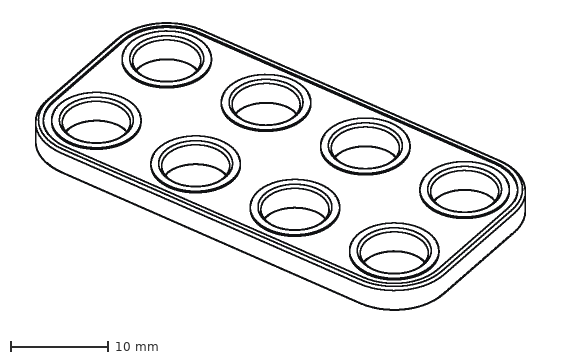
import cadquery as cq

pitch = 12.5
columns = 4
rows = 2
length = columns * pitch
width = rows * pitch
thickness = 3.1
corner_radius = pitch / 2
edge_chamfer = 0.3

rim_width = 0.8
recess_depth = 0.2
collar_diameter = 9.2

hole_diameter = 7.0
hole_chamfer = 0.3


def rounded_block(block_length, block_width, height, radius):
    """Block standing on Z = 0, centred in X and Y, with rounded vertical edges."""
    block = cq.Workplane("XY").box(block_length, block_width, height, centered=(True, True, False))
    return block.edges("|Z").fillet(radius)


def hole_grid(height):
    """Workplane at the given height with one point per hole."""
    return cq.Workplane("XY").workplane(offset=height).rarray(pitch, pitch, columns, rows)


def make_plate():
    plate = rounded_block(length, width, thickness, corner_radius)
    return plate.faces("<Z or >Z").edges().chamfer(edge_chamfer)


def make_recess():
    floor_height = thickness - recess_depth
    field = rounded_block(
        length - 2 * rim_width, width - 2 * rim_width, recess_depth, corner_radius - rim_width
    )
    collars = hole_grid(floor_height).circle(collar_diameter / 2).extrude(recess_depth)
    return field.translate((0, 0, floor_height)).cut(collars)


def make_holes():
    """Bores with a chamfered mouth at both faces."""
    mouth_diameter = hole_diameter + 2 * hole_chamfer
    mouth = cq.Solid.makeCone(mouth_diameter / 2, hole_diameter / 2, hole_chamfer)
    top_mouth = mouth.mirror("XY").translate(cq.Vector(0, 0, thickness))
    holes = hole_grid(0).circle(hole_diameter / 2).extrude(thickness)
    holes = holes.union(hole_grid(0).eachpoint(mouth, combine=False))
    return holes.union(hole_grid(0).eachpoint(top_mouth, combine=False))


result = make_plate().cut(make_recess()).cut(make_holes())